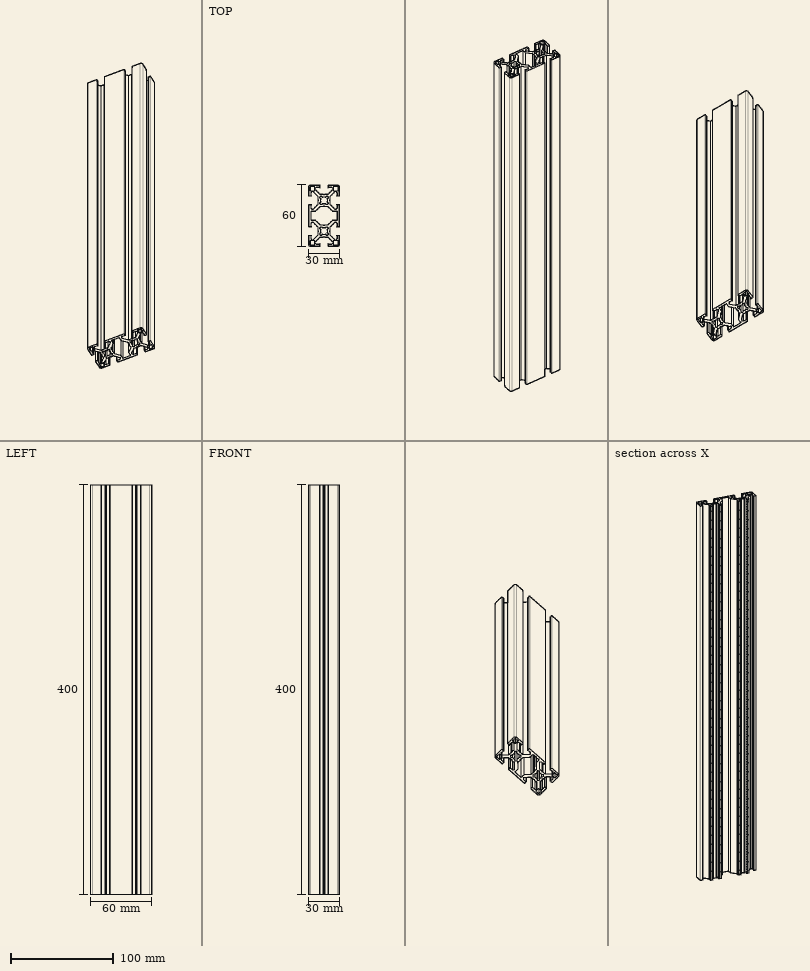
import cadquery as cq
import math

width = 30.0
height = 60.0
length = 400.0
corner_radius = 2.0

half_cell = width / 2
cell_centres = (-half_cell, half_cell)

opening_half = 4.1
lip_thickness = 2.3
lip_round = 0.4
barb_width = 0.5
barb_height = 0.5
cavity_half = 8.6
cavity_chamfer = 1.0
floor_level = 6.0
web_offset = 2.1
groove_half = 0.8
groove_depth = 0.4
lip_level = half_cell - lip_thickness

bore_radius = 3.3
lobe_offset = 2.8
lobe_radius = 1.2

corner_wall = 1.6
corner_void = 4.0

chamber_side_half = 4.2
chamber_offset = 2.3


def slot(angle, y_centre):
    """Cutter for one T-slot of a cell, turned by angle from +Y."""
    right_side = [
        (groove_half, floor_level),
        (floor_level - web_offset, floor_level),
        (cavity_half, cavity_half + web_offset),
        (cavity_half, lip_level - cavity_chamfer),
        (cavity_half - cavity_chamfer, lip_level),
        (opening_half + barb_width, lip_level),
        (opening_half, lip_level - barb_height),
        (opening_half, half_cell - lip_round),
    ]
    left_side = [(-x, y) for x, y in reversed(right_side)]
    mouth_half = opening_half + lip_round
    arc_inset = lip_round * (1 - math.sqrt(0.5))
    arc_x = opening_half + arc_inset
    arc_y = half_cell - arc_inset
    outline = (
        cq.Workplane("XY")
        .polyline([(0, floor_level - groove_depth)] + right_side)
        .threePointArc((arc_x, arc_y), (mouth_half, half_cell))
        .lineTo(-mouth_half, half_cell)
        .threePointArc((-arc_x, arc_y), left_side[0])
    )
    for point in left_side[1:]:
        outline = outline.lineTo(*point)
    cutter = outline.close().extrude(length)
    return cutter.rotate((0, 0, 0), (0, 0, 1), angle).translate((0, y_centre, 0))


def bore(y_centre):
    """Cutter for the round bore of a cell with its four diagonal lobes."""
    centre_hole = cq.Workplane("XY").circle(bore_radius).extrude(length)
    lobe_square = cq.Workplane("XY").rect(2 * lobe_offset, 2 * lobe_offset, forConstruction=True)
    lobes = lobe_square.vertices().circle(lobe_radius).extrude(length)
    return centre_hole.union(lobes).translate((0, y_centre, 0))


def corner_voids():
    """Cutter for the square hollows in the four outer corners."""
    x = width / 2 - corner_wall - corner_void / 2
    y = height / 2 - corner_wall - corner_void / 2
    places = cq.Workplane("XY").rect(2 * x, 2 * y, forConstruction=True).vertices()
    return places.rect(corner_void, corner_void).extrude(length)


def chamber():
    """Cutter for the closed chamber, grooved where it meets the two cores."""
    top = half_cell - floor_level
    right_side = [
        (lip_level, chamber_side_half),
        (half_cell - chamber_side_half - chamber_offset, chamber_side_half),
        (floor_level - chamber_offset, top),
        (groove_half, top),
    ]
    left_side = [(-x, y) for x, y in reversed(right_side)]
    upper = right_side + [(0, top + groove_depth)] + left_side
    lower = [(-x, -y) for x, y in upper]
    return cq.Workplane("XY").polyline(upper + lower).close().extrude(length)


result = cq.Workplane("XY").rect(width, height).extrude(length).edges("|Z").fillet(corner_radius)
for y_centre in cell_centres:
    end_angle = 0 if y_centre > 0 else 180
    for angle in (90, 270, end_angle):
        result = result.cut(slot(angle, y_centre))
    result = result.cut(bore(y_centre))
result = result.cut(corner_voids())
result = result.cut(chamber())